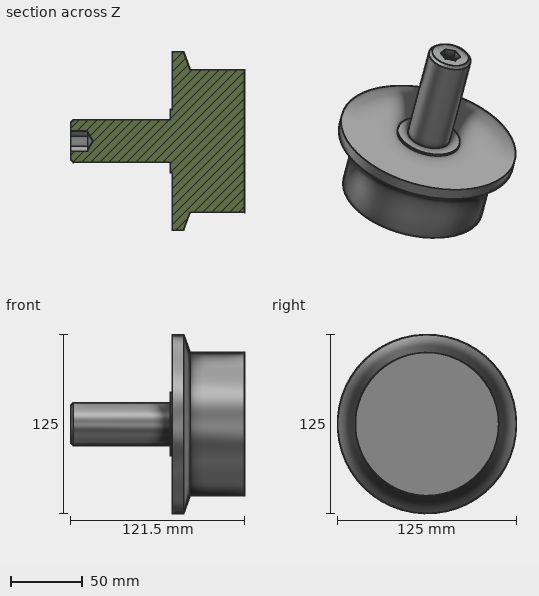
import cadquery as cq
import math

total_length = 121.5
flange_diameter = 125.0
tread_diameter = 100.0
axle_diameter = 30.0
axle_chamfer = 2.0
collar_diameter = 44.5
collar_thickness = 1.5
wheel_width = 50.5
flange_rim_width = 8.0
flange_taper_width = 4.5

socket_across_flats = 12.0
socket_depth = 12.0
socket_cone_angle = 120.0

axle_end_x = wheel_width - total_length
taper_end_x = flange_rim_width + flange_taper_width


def turned_body():
    axle_radius = axle_diameter / 2
    collar_radius = collar_diameter / 2
    flange_radius = flange_diameter / 2
    tread_radius = tread_diameter / 2
    profile = [
        (axle_end_x, 0),
        (axle_end_x, axle_radius - axle_chamfer),
        (axle_end_x + axle_chamfer, axle_radius),
        (-collar_thickness, axle_radius),
        (-collar_thickness, collar_radius),
        (0, collar_radius),
        (0, flange_radius),
        (flange_rim_width, flange_radius),
        (taper_end_x, tread_radius),
        (wheel_width, tread_radius),
        (wheel_width, 0),
    ]
    return cq.Workplane("XY").polyline(profile).close().revolve(360, (0, 0, 0), (1, 0, 0))


def hex_socket():
    across_corners = socket_across_flats / math.cos(math.radians(30))
    hexagon = (
        cq.Workplane("YZ", origin=(axle_end_x, 0, 0))
        .polygon(6, across_corners)
        .extrude(socket_depth)
    )
    cone_radius = socket_across_flats / 2
    cone_height = cone_radius / math.tan(math.radians(socket_cone_angle / 2))
    bottom_x = axle_end_x + socket_depth
    cone = (
        cq.Workplane("XY")
        .polyline([(bottom_x, 0), (bottom_x, cone_radius), (bottom_x + cone_height, 0)])
        .close()
        .revolve(360, (0, 0, 0), (1, 0, 0))
    )
    return hexagon.union(cone)


result = turned_body().cut(hex_socket())